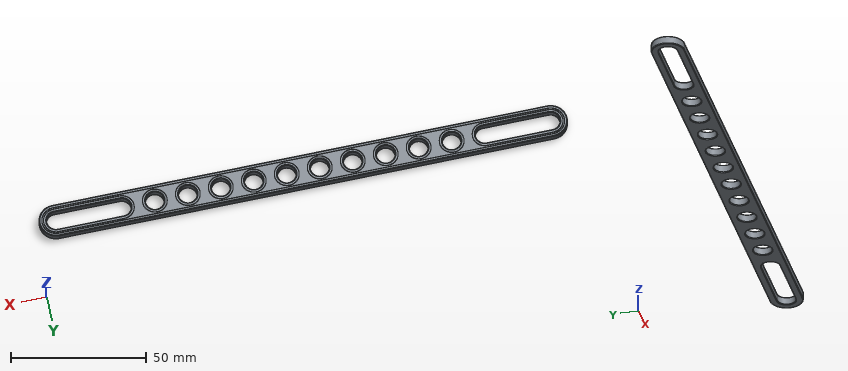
import cadquery as cq

length = 200.0
thickness = 3.2
pitch_count = 16
hole_diameter = 7.0
collar_diameter = 9.2
rim_width = 1.05
recess_depth = 0.25
edge_chamfer = 0.3
round_hole_count = 10
slot_travel_pitches = 2

pitch = length / pitch_count
width = pitch
slot_travel = slot_travel_pitches * pitch
outermost_center_x = (length - pitch) / 2
slot_center_x = outermost_center_x - slot_travel / 2
floor_height = thickness - recess_depth


def make_bar(inset, height):
    """Bar with full-round ends standing on Z = 0, its outline moved inward by inset."""
    return cq.Workplane("XY").slot2D(length - 2 * inset, width - 2 * inset).extrude(height)


def make_posts(diameter):
    """Full-thickness solids at every round hole and slot, of the given diameter or width."""
    hole_centers = cq.Workplane("XY").rarray(pitch, 2, round_hole_count, 1)
    hole_posts = hole_centers.circle(diameter / 2).extrude(thickness)
    slot_centers = cq.Workplane("XY").rarray(2 * slot_center_x, 2, 2, 1)
    slot_posts = slot_centers.slot2D(slot_travel + diameter, diameter).extrude(thickness)
    return hole_posts.union(slot_posts)


def make_recess():
    """Shallow pocket in the top face, leaving an outer rim and a collar around each opening."""
    pocket = make_bar(rim_width, recess_depth).translate((0, 0, floor_height))
    return pocket.cut(make_posts(collar_diameter))


result = make_bar(0, thickness).cut(make_posts(hole_diameter))
result = result.faces("<Z or >Z").chamfer(edge_chamfer)

result = result.cut(make_recess())